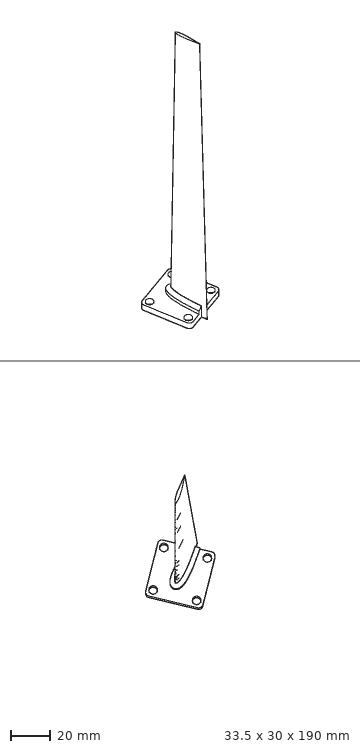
import cadquery as cq
import math

plate_side = 30.0
plate_thickness = 4.0
corner_radius = 2.3
hole_diameter = 4.4
hole_spacing = 22.8

height = 190.0
root_leading = (-6.0, 1.0)
root_trailing = (18.5, -4.4)
tip_leading = (-3.8, 1.5)
tip_trailing = (11.2, 0.4)
root_thickness = 3.6
tip_thickness = 1.9
trailing_thickness = 0.2
points_per_side = 12

collar_margin = 2.5
collar_top = 6.3
slope_top = 7.8


def half_thickness(fraction, thickness):
    """Half-thickness of a four-digit NACA section at a fraction of its chord."""
    form = (
        0.2969 * math.sqrt(fraction)
        - 0.1260 * fraction
        - 0.3516 * fraction**2
        + 0.2843 * fraction**3
        - 0.1036 * fraction**4
    )
    return 5 * thickness * form + trailing_thickness / 2 * fraction


def section(z, leading, trailing, thickness, margin=0.0):
    """Closed airfoil wire at height z, grown outward by margin."""
    run = trailing[0] - leading[0]
    rise = trailing[1] - leading[1]
    chord = math.hypot(run, rise)
    along = (run / chord, rise / chord)
    local = []
    for step in range(-points_per_side, points_per_side + 1):
        fraction = (step / points_per_side) ** 2
        offset = -math.copysign(half_thickness(fraction, thickness), step)
        local.append((chord * fraction, offset))

    outline = []
    last = len(local) - 1
    for index, (distance, offset) in enumerate(local):
        before = local[max(index - 1, 0)]
        after = local[min(index + 1, last)]
        tangent = (after[0] - before[0], after[1] - before[1])
        length = math.hypot(*tangent)
        u = distance + margin * tangent[1] / length
        v = offset - margin * tangent[0] / length
        x = leading[0] + u * along[0] - v * along[1]
        y = leading[1] + u * along[1] + v * along[0]
        outline.append(cq.Vector(x, y, z))
    curve = cq.Edge.makeSpline(outline)
    closing = cq.Edge.makeLine(outline[-1], outline[0])
    return cq.Wire.assembleEdges([curve, closing])


def root_section(z, margin=0.0):
    return section(z, root_leading, root_trailing, root_thickness, margin)


def make_plate():
    return (
        cq.Workplane("XY")
        .rect(plate_side, plate_side)
        .extrude(plate_thickness)
        .edges("|Z")
        .fillet(corner_radius)
        .faces(">Z")
        .workplane()
        .rect(hole_spacing, hole_spacing, forConstruction=True)
        .vertices()
        .hole(hole_diameter)
    )


def make_blade():
    tip = section(height, tip_leading, tip_trailing, tip_thickness)
    return cq.Workplane(cq.Solid.makeLoft([root_section(0), tip], True))


def make_collar():
    foot = root_section(0, collar_margin)
    rim = root_section(collar_top, collar_margin)
    slope_end = root_section(slope_top)
    straight = cq.Workplane(cq.Solid.makeLoft([foot, rim], True))
    slope = cq.Workplane(cq.Solid.makeLoft([rim, slope_end], True))
    envelope = (
        cq.Workplane("XY")
        .workplane(offset=plate_thickness)
        .rect(plate_side, plate_side)
        .extrude(slope_top - plate_thickness)
    )
    return straight.union(slope).intersect(envelope)


result = make_plate().union(make_collar()).union(make_blade())